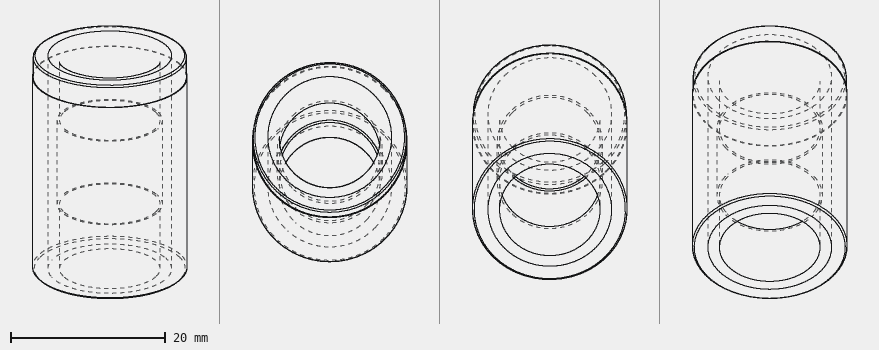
import cadquery as cq

LENGTH = 30.0
BODY_DIAMETER = LENGTH * 2 / 3
BORE_DIAMETER = 13.0
LINER_DIAMETER = 16.0

PILOT_LENGTH = 3.0
PILOT_STEP = 0.1

EDGE_CHAMFER = 0.25
BORE_ROUND = 1.0

GUIDE_LENGTH = 9.12
RELIEF_DEPTH = 0.3
RELIEF_LENGTH = LENGTH - 2 * GUIDE_LENGTH

body_radius = BODY_DIAMETER / 2
pilot_radius = body_radius - PILOT_STEP
liner_radius = LINER_DIAMETER / 2
bore_radius = BORE_DIAMETER / 2
relief_radius = bore_radius + RELIEF_DEPTH


def make_sleeve():
    """Outer sleeve with a reduced pilot and chamfered outer rims."""
    body = cq.Workplane("XY").circle(body_radius).extrude(LENGTH - PILOT_LENGTH)
    body = body.faces("<Z").chamfer(EDGE_CHAMFER)
    pilot = (
        cq.Workplane("XY", origin=(0, 0, LENGTH - PILOT_LENGTH))
        .circle(pilot_radius)
        .extrude(PILOT_LENGTH)
        .faces(">Z")
        .chamfer(EDGE_CHAMFER)
    )
    liner_seat = cq.Workplane("XY").circle(liner_radius).extrude(LENGTH)
    return body.union(pilot).cut(liner_seat)


def make_liner():
    """Full-length liner with a rounded bore mouth and a relieved middle."""
    liner = cq.Workplane("XY").circle(liner_radius).circle(bore_radius).extrude(LENGTH)
    bore_rim = cq.selectors.RadiusNthSelector(0)
    liner = liner.faces(">Z").edges(bore_rim).fillet(BORE_ROUND)
    relief = (
        cq.Workplane("XY", origin=(0, 0, GUIDE_LENGTH))
        .circle(relief_radius)
        .extrude(RELIEF_LENGTH)
    )
    return liner.cut(relief)


sleeve = make_sleeve()
liner = make_liner()

result = cq.Compound.makeCompound([sleeve.val(), liner.val()])